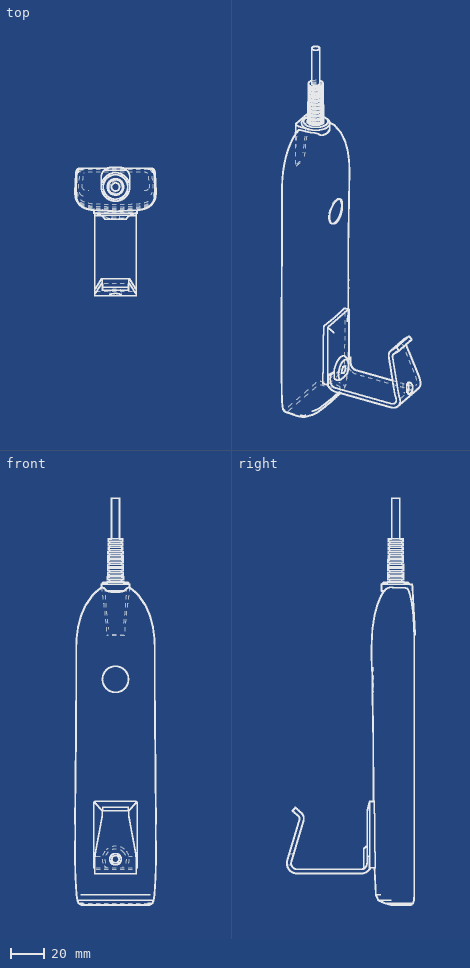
import cadquery as cq
import math

overall_height = 245.0
overlap = 1.2

back_y = 11.3
body_half_width = 23.8
dome_start_z = 153.6
dome_top_z = 193.5
base_top_z = 6.4
base_half_width = 23.5
base_front = 12.0
band_bottom_z = 129.9
band_bottom_front = 14.2
dome_front = 14.7
grip_stations = [
    (base_top_z, base_half_width, base_front),
    (19.5, 24.3, 12.7),
    (44.0, 24.5, 13.2),
    (78.5, 24.3, 13.5),
    (110.3, body_half_width, 13.7),
    (band_bottom_z, body_half_width, band_bottom_front),
]
band_stations = [
    (band_bottom_z, body_half_width, band_bottom_front),
    (dome_start_z, body_half_width, dome_front),
]
dome_fullness = 2.2
dome_fractions = [0.25, 0.5, 0.7, 0.82, 0.91, 0.97]
base_stations = [
    (0.0, 20.0, 2.5, 9.0),
    (1.2, 22.3, 6.9, 10.5),
    (3.0, 23.0, 10.5, 11.0),
    (base_top_z, base_half_width, base_front, back_y),
]

button_radius = 7.8
button_z = 136.0
button_face_y = -13.5

cable_radius = 2.5
sleeve_bottom_z = 193.5
sleeve_top_z = 220.5
sleeve_core_radius = 3.7
rib_count = 11
rib_height = 1.5
rib_bottom_radius = 5.0
rib_top_radius = 4.5

collar_radius = 8.5
collar_bottom_z = 188.0
collar_top_z = 194.3
collar_chamfer = 1.2
tongue_bottom_z = 161.7
tongue_back_y = 11.8
tongue_corner_round = 6.0

plate_half_width = 13.0
plate_bottom_z = 22.5
plate_top_z = 62.5
plate_root_y = -11.0
plate_shoulder_y = -15.7
plate_face_y = -17.2
plate_side_bevel = 5.0
plate_top_bevel = 5.6
plate_corner_round = 1.0

screw_z = 27.7
boss_root_radius = 9.3
boss_face_radius = 6.4
boss_face_y = -19.4
screw_hole_radius = 2.2
screw_hole_depth = 2.0

strap_thickness = 2.7
strap_bend_radius = 5.0
lip_bend_radius = 3.2
strap_root_y = -16.0
strap_root_z = 29.5
strap_arm_z = 20.3
strap_end_y = -66.0
lip_bend = (-56.0, 53.2)
lip_tip = (-61.3, 57.8)
strap_half_width = 12.5
lip_half_width = 8.0
lip_tip_half_width = 7.5
lip_taper_start_z = 29.5
access_hole_radius = 3.5


def half_section(z, half_width, front, back):
    """The -X half of a smooth D: flat back, rounded corner and a bulging front."""
    back_flat = -0.86 * half_width
    flank = [
        (-0.45 * half_width, -0.97 * front),
        (-0.80 * half_width, -0.86 * front),
        (-0.95 * half_width, -0.65 * front),
        (-half_width, -0.20 * front),
        (-0.98 * half_width, 0.60 * back),
        (-0.95 * half_width, 0.92 * back),
        (back_flat, back),
    ]
    return (
        cq.Workplane("XY", origin=(0, 0, z))
        .moveTo(0, -front)
        .spline(flank, tangents=[(-1, 0), (1, 0)], includeCurrent=True)
        .lineTo(0, back)
        .close()
        .wire()
        .val()
    )


def make_body():
    base = cq.Solid.makeLoft([half_section(*station) for station in base_stations], True)
    grip = cq.Solid.makeLoft([half_section(z, w, f, back_y) for z, w, f in grip_stations])
    band = cq.Solid.makeLoft([half_section(z, w, f, back_y) for z, w, f in band_stations])
    sections = [half_section(dome_start_z, body_half_width, dome_front, back_y)]
    for fraction in dome_fractions:
        shrink = math.sqrt(1 - fraction**dome_fullness)
        z = dome_start_z + fraction * (dome_top_z - dome_start_z)
        sections.append(
            half_section(z, body_half_width * shrink, dome_front * shrink, back_y * math.sqrt(shrink))
        )
    dome = cq.Solid.makeLoft(sections)
    half = cq.Workplane(base).union(cq.Workplane(grip)).union(cq.Workplane(band)).union(cq.Workplane(dome))
    return half.union(half.mirror("YZ"))


def y_cylinder(radius, z, start_y, length):
    """Cylinder along -Y, starting at start_y."""
    return cq.Workplane("XZ", origin=(0, start_y, z)).circle(radius).extrude(length)


def make_cable():
    cable = (
        cq.Workplane("XY", origin=(0, 0, collar_bottom_z))
        .circle(cable_radius)
        .extrude(overall_height - collar_bottom_z)
    )
    core = (
        cq.Workplane("XY", origin=(0, 0, collar_bottom_z))
        .circle(sleeve_core_radius)
        .extrude(sleeve_top_z - rib_height / 2 - collar_bottom_z)
    )
    cable = cable.union(core)
    pitch = (sleeve_top_z - rib_height - sleeve_bottom_z) / (rib_count - 1)
    for index in range(rib_count):
        share = index / (rib_count - 1)
        radius = rib_bottom_radius + share * (rib_top_radius - rib_bottom_radius)
        rib = (
            cq.Workplane("XY", origin=(0, 0, sleeve_bottom_z + index * pitch))
            .circle(radius)
            .extrude(rib_height)
        )
        cable = cable.union(rib)
    return cable


def make_collar():
    ring = (
        cq.Workplane("XY", origin=(0, 0, collar_bottom_z))
        .circle(collar_radius)
        .extrude(collar_top_z - collar_bottom_z)
        .edges()
        .chamfer(collar_chamfer)
    )
    tongue = (
        cq.Workplane("YZ")
        .polyline([
            (0, tongue_bottom_z),
            (back_y - overlap, tongue_bottom_z),
            (tongue_back_y, tongue_bottom_z + overlap),
            (back_y - overlap, collar_top_z - collar_chamfer),
            (0, collar_top_z - collar_chamfer),
        ])
        .close()
        .extrude(collar_radius, both=True)
    )
    tongue_outline = (
        cq.Workplane("XY", origin=(0, 0, tongue_bottom_z))
        .rect(2 * collar_radius, 2 * tongue_back_y)
        .extrude(collar_top_z - tongue_bottom_z)
        .edges("|Z")
        .fillet(tongue_corner_round)
    )
    tongue = tongue.intersect(tongue_outline)
    return ring.union(tongue)


def make_plate():
    height = plate_top_z - plate_bottom_z
    inner = plate_half_width - plate_side_bevel
    slab = (
        cq.Workplane("XZ", origin=(0, plate_root_y, plate_bottom_z + height / 2))
        .rect(2 * plate_half_width, height)
        .extrude(plate_root_y - plate_face_y)
    )
    side_profile = (
        cq.Workplane("YZ")
        .polyline([
            (plate_root_y, plate_bottom_z),
            (plate_face_y, plate_bottom_z),
            (plate_face_y, plate_top_z - plate_top_bevel),
            (plate_shoulder_y, plate_top_z),
            (plate_root_y, plate_top_z),
        ])
        .close()
        .extrude(plate_half_width, both=True)
    )
    cross_profile = (
        cq.Workplane("XY", origin=(0, 0, plate_bottom_z))
        .polyline([
            (-plate_half_width, plate_root_y),
            (-plate_half_width, plate_shoulder_y),
            (-inner, plate_face_y),
            (inner, plate_face_y),
            (plate_half_width, plate_shoulder_y),
            (plate_half_width, plate_root_y),
        ])
        .close()
        .extrude(height)
    )
    slab = slab.edges(">Z and |Y").fillet(plate_corner_round)
    return slab.intersect(side_profile).intersect(cross_profile)


def make_boss():
    """Raised cone around the screw, cut off level with the bottom of the plate."""
    cone = (
        cq.Workplane("XZ", origin=(0, plate_shoulder_y, screw_z))
        .circle(boss_root_radius)
        .workplane(offset=plate_shoulder_y - boss_face_y)
        .circle(boss_face_radius)
        .loft()
    )
    keep = (
        cq.Workplane("XY", origin=(0, boss_face_y, plate_bottom_z))
        .rect(2 * boss_root_radius, 2 * (plate_shoulder_y - boss_face_y))
        .extrude(plate_top_z - plate_bottom_z)
    )
    return cone.intersect(keep)


def bend_points(before, corner, after, radius):
    """Start, middle and end of the arc that rounds a corner of the strap's centre line."""
    to_before = cq.Vector(*before) - cq.Vector(*corner)
    to_after = cq.Vector(*after) - cq.Vector(*corner)
    half_angle = to_before.getAngle(to_after) / 2
    reach = radius / math.tan(half_angle)
    bisector = (to_before.normalized() + to_after.normalized()).normalized()
    middle = bisector * (radius / math.sin(half_angle) - radius)
    arc = [to_before.normalized() * reach, middle, to_after.normalized() * reach]
    return [(corner[0] + step.x, corner[1] + step.y) for step in arc]


def make_hook():
    corners = [
        (strap_root_y, strap_root_z),
        (strap_root_y, strap_arm_z),
        (strap_end_y, strap_arm_z),
        lip_bend,
        lip_tip,
    ]
    radii = [strap_bend_radius, strap_bend_radius, lip_bend_radius]
    path = cq.Workplane("YZ").moveTo(*corners[0])
    for before, corner, after, radius in zip(corners, corners[1:], corners[2:], radii):
        start, middle, end = bend_points(before, corner, after, radius)
        path = path.lineTo(*start).threePointArc(middle, end)
    path = path.lineTo(*lip_tip)
    strap = (
        cq.Workplane("XY", origin=(0, strap_root_y, strap_root_z))
        .rect(2 * strap_half_width, strap_thickness)
        .sweep(path)
    )
    low_z = strap_arm_z - strap_thickness
    high_z = lip_tip[1] + strap_thickness
    outline = (
        cq.Workplane("XZ")
        .polyline([
            (-strap_half_width, low_z),
            (strap_half_width, low_z),
            (strap_half_width, lip_taper_start_z),
            (lip_half_width, lip_bend[1]),
            (lip_tip_half_width, high_z),
            (-lip_tip_half_width, high_z),
            (-lip_half_width, lip_bend[1]),
            (-strap_half_width, lip_taper_start_z),
        ])
        .close()
        .extrude(-2 * strap_end_y)
    )
    access_hole = y_cylinder(access_hole_radius, screw_z, lip_bend[0], -strap_end_y)
    return strap.intersect(outline).cut(access_hole)


body = make_body()
body = body.cut(y_cylinder(button_radius, button_z, button_face_y, 2.5))
screw_hole = y_cylinder(screw_hole_radius, screw_z, boss_face_y + screw_hole_depth, screw_hole_depth)

result = (
    body
    .union(make_collar())
    .union(make_cable())
    .union(make_plate())
    .union(make_hook())
    .union(make_boss())
    .cut(screw_hole)
)